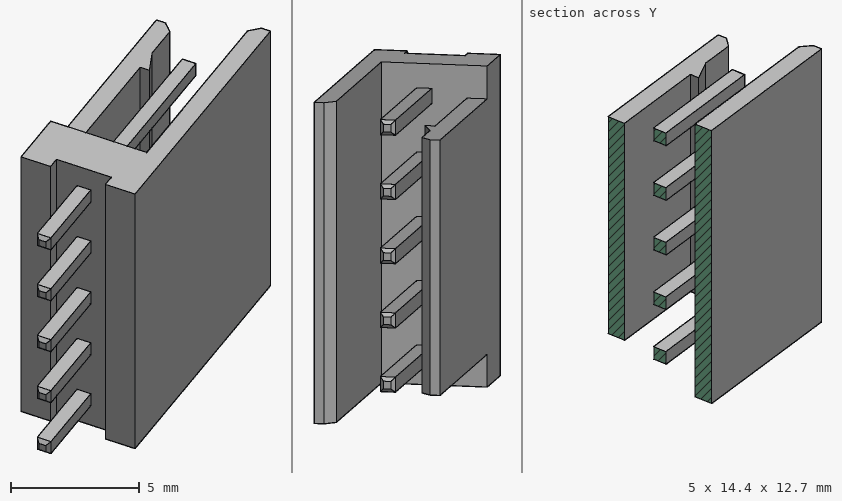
import cadquery as cq

pin_count = 5
pin_pitch = 2.54
pin_width = 0.6
pin_tip = 0.15
pin_tail = 3.0
pin_reach = 9.5

housing_width = 5.0
housing_depth = 11.4
housing_height = pin_count * pin_pitch
base_thickness = 2.5
wall_thickness = 0.8
wall_chamfer = 0.4
latch_wall_inset = 1.3

groove_width = 2.4
groove_depth = 0.5

hook_catch = 8.5
hook_length = 1.0
hook_height = 0.4

half_width = housing_width / 2
inner_face = half_width - wall_thickness
chamfer_start = housing_depth - wall_chamfer


def extrude_along_row(outline, height):
    """Extrude a closed XY outline along Z, centred on the pin row."""
    return cq.Workplane("XY").polyline(outline).close().extrude(height / 2, both=True)


def make_base():
    base = cq.Workplane("XY").box(
        housing_width, base_thickness, housing_height, centered=(True, False, True)
    )
    groove = cq.Workplane("XY").box(
        groove_width, groove_depth, housing_height, centered=(True, False, True)
    )
    return base.cut(groove)


def make_plain_wall():
    outline = [
        (inner_face, base_thickness),
        (half_width, base_thickness),
        (half_width, housing_depth),
        (inner_face + wall_chamfer, housing_depth),
        (inner_face, chamfer_start),
    ]
    return extrude_along_row(outline, housing_height)


def make_latch_wall():
    outline = [
        (-inner_face, base_thickness),
        (-half_width, base_thickness),
        (-half_width, housing_depth),
        (-inner_face - wall_chamfer, housing_depth),
        (-inner_face, chamfer_start),
        (-inner_face, hook_catch + hook_length),
        (-inner_face + hook_height, hook_catch),
        (-inner_face, hook_catch),
    ]
    return extrude_along_row(outline, housing_height - 2 * latch_wall_inset)


def make_pin(z):
    pin = cq.Workplane("XY").box(
        pin_width, pin_tail + pin_reach, pin_width, centered=(True, False, True)
    )
    pin = pin.faces("<Y or >Y").chamfer(pin_tip)
    return pin.translate((0, -pin_tail, z))


result = make_base().union(make_plain_wall()).union(make_latch_wall())
for index in range(pin_count):
    pin_z = (index - (pin_count - 1) / 2) * pin_pitch
    result = result.union(make_pin(pin_z))